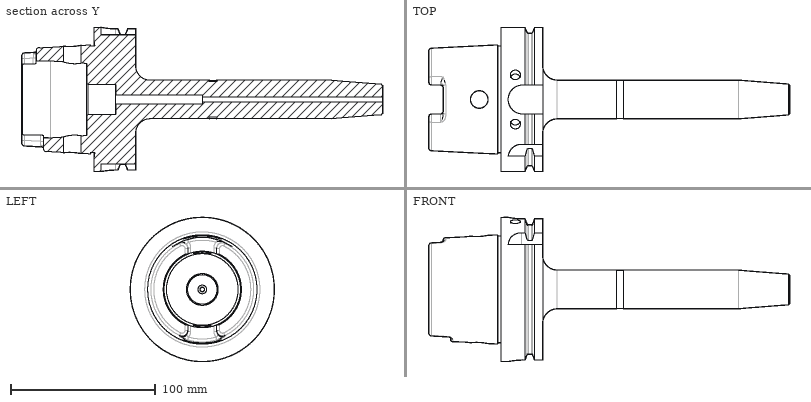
import cadquery as cq
import math


TAPER_LENGTH = 50.0
TAPER_GAUGE_RADIUS = 38.0
TAPER_SLOPE = 1 / 20
TAPER_END_ROUND = 2.0
RELIEF_WIDTH = 2.5
RELIEF_DEPTH = 0.8
RELIEF_CHAMFER = 0.5
FACE_RECESS_RADIUS = 39.9
FACE_RECESS_DEPTH = 0.5

FLANGE_RADIUS = 50.0
FLANGE_WIDTH = 29.0
GROOVE_CENTRE_X = 20.0
GROOVE_MOUTH_WIDTH = 6.6
GROOVE_FLOOR_WIDTH = 3.5
GROOVE_FLOOR_RADIUS = 46.0
GROOVE_FLOOR_ROUND = 1.0

SHANK_RADIUS = 13.5
SHANK_FILLET = 10.0
NOSE_END_X = 200.0
NOSE_END_RADIUS = 10.7
NOSE_ANGLE = math.radians(4.5)
NOSE_CHAMFER = 1.0

RING_START_X = 80.0
RING_WIDTH = 5.0
RING_OUTER_RADIUS = 13.35
RING_INNER_RADIUS = 12.5

CLAMP_BORE_RADIUS = 26.5
CLAMP_BORE_MOUTH_RADIUS = 27.1
CLAMP_BORE_DEPTH = 20.0
BORE_FLOOR_RADIUS = 24.8
BORE_FLOOR_DEPTH = 45.0
THREAD_BORE_RADIUS = 10.2
THREAD_BORE_MOUTH_RADIUS = 11.0
THREAD_BORE_DEPTH = 20.0
CHANNEL_RADIUS = 3.0
CHANNEL_DEPTH = 60.0
OUTLET_RADIUS = 1.5

CROSS_HOLE_RADIUS = 6.0
CROSS_HOLE_X = -15.0

SLOT_WIDTH = 20.0
SLOT_SIDE_ROUND = 4.0
TOP_SLOT_DEPTH = 10.0
BOTTOM_SLOT_DEPTH = 15.0
SLOT_CORNER_ROUND = 2.0

KEYWAY_WIDTH = 20.0
KEYWAY_START_X = 5.0
KEYWAY_FLOOR_Z = 44.8
NOTCH_OFFSET = 31.0
NOTCH_RADIUS = 9.3
NOTCH_START_X = 5.0

FLANGE_HOLE_RADIUS = 3.5
FLANGE_HOLE_X = 10.0
FLANGE_HOLE_ANGLE = 20.0
FLANGE_HOLE_DEPTH = 8.0
DRILL_POINT_HALF_ANGLE = math.radians(59)

PICK_REACH = 0.5


def taper_radius(x):
    return TAPER_GAUGE_RADIUS + TAPER_SLOPE * x


def nose_radius(x):
    return NOSE_END_RADIUS + (NOSE_END_X - x) * math.tan(NOSE_ANGLE)


def box_around(x, y, z, half_x=PICK_REACH, half_y=PICK_REACH, half_z=PICK_REACH):
    """Selector for edges whose centre lies in a box about a point."""
    return cq.selectors.BoxSelector(
        (x - half_x, y - half_y, z - half_z), (x + half_x, y + half_y, z + half_z)
    )


def revolve_about_x(profile):
    return profile.close().revolve(360, (0, 0, 0), (1, 0, 0))


def cylinder_x(start_x, end_x, radius):
    return cq.Workplane("YZ", origin=(start_x, 0, 0)).circle(radius).extrude(end_x - start_x)


def cone_x(start_x, end_x, start_radius, end_radius):
    profile = (
        cq.Workplane("XY")
        .moveTo(start_x, 0)
        .lineTo(start_x, start_radius)
        .lineTo(end_x, end_radius)
        .lineTo(end_x, 0)
    )
    return revolve_about_x(profile)


def countersink_x(start_x, start_radius, end_radius):
    """A 45 degree cone narrowing towards +X."""
    return cone_x(start_x, start_x + start_radius - end_radius, start_radius, end_radius)


def holder_blank():
    end_x = -TAPER_LENGTH
    relief_radius = taper_radius(-RELIEF_WIDTH) - RELIEF_DEPTH
    mouth_half = GROOVE_MOUTH_WIDTH / 2
    floor_half = GROOVE_FLOOR_WIDTH / 2
    nose_start_x = NOSE_END_X - (SHANK_RADIUS - NOSE_END_RADIUS) / math.tan(NOSE_ANGLE)
    nose_chamfer_x = NOSE_END_X - NOSE_CHAMFER
    fillet_middle = SHANK_FILLET * (1 - math.sqrt(0.5))
    profile = (
        cq.Workplane("XY")
        .moveTo(end_x, 0)
        .lineTo(end_x, taper_radius(end_x))
        .lineTo(-RELIEF_WIDTH, taper_radius(-RELIEF_WIDTH))
        .lineTo(-RELIEF_WIDTH + RELIEF_CHAMFER, relief_radius)
        .lineTo(FACE_RECESS_DEPTH, relief_radius)
        .lineTo(0, FACE_RECESS_RADIUS)
        .lineTo(0, FLANGE_RADIUS)
        .lineTo(GROOVE_CENTRE_X - mouth_half, FLANGE_RADIUS)
        .lineTo(GROOVE_CENTRE_X - floor_half, GROOVE_FLOOR_RADIUS)
        .lineTo(GROOVE_CENTRE_X + floor_half, GROOVE_FLOOR_RADIUS)
        .lineTo(GROOVE_CENTRE_X + mouth_half, FLANGE_RADIUS)
        .lineTo(FLANGE_WIDTH, FLANGE_RADIUS)
        .lineTo(FLANGE_WIDTH, SHANK_RADIUS + SHANK_FILLET)
        .threePointArc(
            (FLANGE_WIDTH + fillet_middle, SHANK_RADIUS + fillet_middle),
            (FLANGE_WIDTH + SHANK_FILLET, SHANK_RADIUS),
        )
        .lineTo(nose_start_x, SHANK_RADIUS)
        .lineTo(nose_chamfer_x, nose_radius(nose_chamfer_x))
        .lineTo(NOSE_END_X, nose_radius(nose_chamfer_x) - NOSE_CHAMFER)
        .lineTo(NOSE_END_X, 0)
    )
    groove_floor_edges = box_around(GROOVE_CENTRE_X, 0, 0, half_x=floor_half + PICK_REACH)
    return revolve_about_x(profile).edges(groove_floor_edges).fillet(GROOVE_FLOOR_ROUND)


def bores():
    mouth_x = -TAPER_LENGTH
    shoulder_x = mouth_x + CLAMP_BORE_DEPTH
    floor_x = mouth_x + BORE_FLOOR_DEPTH
    thread_end_x = floor_x + THREAD_BORE_DEPTH
    channel_end_x = thread_end_x + CHANNEL_DEPTH
    return (
        cylinder_x(mouth_x, shoulder_x, CLAMP_BORE_RADIUS)
        .union(cone_x(shoulder_x, floor_x, CLAMP_BORE_RADIUS, BORE_FLOOR_RADIUS))
        .union(countersink_x(floor_x, THREAD_BORE_MOUTH_RADIUS, THREAD_BORE_RADIUS))
        .union(cylinder_x(floor_x, thread_end_x, THREAD_BORE_RADIUS))
        .union(cylinder_x(thread_end_x, channel_end_x, CHANNEL_RADIUS))
        .union(cylinder_x(channel_end_x, NOSE_END_X, OUTLET_RADIUS))
    )


def cross_hole():
    return (
        cq.Workplane("XY", origin=(CROSS_HOLE_X, 0, -FLANGE_RADIUS))
        .circle(CROSS_HOLE_RADIUS)
        .extrude(2 * FLANGE_RADIUS)
    )


def cut_drive_slot(body, depth):
    """Cut a slot open to +Z and to the taper end, rounding its corners and outer rim."""
    half = SLOT_WIDTH / 2
    floor_x = depth - TAPER_LENGTH
    slot = (
        cq.Workplane("XY", origin=(floor_x - depth / 2, 0, 0))
        .rect(depth, SLOT_WIDTH)
        .extrude(FLANGE_RADIUS)
    )
    middle_x = floor_x - depth / 2
    rim_z = math.sqrt(taper_radius(middle_x) ** 2 - half**2)
    bore_z = math.sqrt(CLAMP_BORE_RADIUS**2 - half**2)
    side_rims = box_around(middle_x, half, rim_z) + box_around(middle_x, -half, rim_z)
    floor_rim = box_around(floor_x, 0, taper_radius(floor_x), half_y=half / 2)
    corners = box_around(floor_x, half, bore_z, half_z=SLOT_SIDE_ROUND) + box_around(
        floor_x, -half, bore_z, half_z=SLOT_SIDE_ROUND
    )
    body = body.cut(slot).edges(side_rims).fillet(SLOT_SIDE_ROUND)
    return body.edges(floor_rim + corners).fillet(SLOT_CORNER_ROUND)


def end_rim_edges(body):
    """The outer and slot side edges of the two lobes on the taper end face."""
    end_edges = body.faces("<X").edges()
    bore_edge_reach = CLAMP_BORE_RADIUS + PICK_REACH

    def outside_bore_edge(edge):
        middle = edge.positionAt(0.5)
        return math.hypot(middle.y, middle.z) > bore_edge_reach

    return end_edges.filter(outside_bore_edge)


def keyway():
    """Flat-floored, round-ended slot in the +Z side of the flange, open towards +X."""
    centre_x = KEYWAY_START_X + KEYWAY_WIDTH / 2
    plane = cq.Workplane("XY", origin=(centre_x, 0, KEYWAY_FLOOR_Z))
    length = FLANGE_WIDTH - centre_x
    straight = plane.center(length / 2, 0).rect(length, KEYWAY_WIDTH).extrude(FLANGE_RADIUS)
    return plane.circle(KEYWAY_WIDTH / 2).extrude(FLANGE_RADIUS).union(straight)


def corner_notch():
    """Round-ended notch with a floor and a wall in the flange corner between -Y and +Z."""
    centre_x = NOTCH_START_X + NOTCH_RADIUS
    length = FLANGE_WIDTH - centre_x
    plane = cq.Workplane("XY", origin=(centre_x, -NOTCH_OFFSET - NOTCH_RADIUS, NOTCH_OFFSET))
    straight = plane.center(length / 2, 0).rect(length, 2 * NOTCH_RADIUS).extrude(FLANGE_RADIUS)
    return plane.circle(NOTCH_RADIUS).extrude(FLANGE_RADIUS).union(straight)


def flange_hole(angle):
    floor_z = FLANGE_RADIUS - FLANGE_HOLE_DEPTH
    mouth_z = FLANGE_RADIUS + FLANGE_HOLE_RADIUS
    hole = (
        cq.Workplane("XZ")
        .moveTo(0, floor_z - FLANGE_HOLE_RADIUS / math.tan(DRILL_POINT_HALF_ANGLE))
        .lineTo(FLANGE_HOLE_RADIUS, floor_z)
        .lineTo(FLANGE_HOLE_RADIUS, mouth_z)
        .lineTo(0, mouth_z)
        .close()
        .revolve(360, (0, 0, 0), (0, 1, 0))
        .translate((FLANGE_HOLE_X, 0, 0))
    )
    return hole.rotate((0, 0, 0), (1, 0, 0), angle)


def half_turn(shape):
    return shape.rotate((0, 0, 0), (1, 0, 0), 180)


def make_ring(outer_radius):
    return (
        cq.Workplane("YZ", origin=(RING_START_X, 0, 0))
        .circle(outer_radius)
        .circle(RING_INNER_RADIUS)
        .extrude(RING_WIDTH)
    )


def make_holder():
    holder = holder_blank().cut(bores())
    holder = cut_drive_slot(holder, TOP_SLOT_DEPTH)
    holder = half_turn(cut_drive_slot(half_turn(holder), BOTTOM_SLOT_DEPTH))
    holder = end_rim_edges(holder).fillet(TAPER_END_ROUND)
    holder = holder.cut(countersink_x(-TAPER_LENGTH, CLAMP_BORE_MOUTH_RADIUS, CLAMP_BORE_RADIUS))
    holder = holder.cut(cross_hole())
    holder = holder.cut(keyway()).cut(half_turn(keyway())).cut(corner_notch())
    for angle in (-FLANGE_HOLE_ANGLE, FLANGE_HOLE_ANGLE):
        holder = holder.cut(flange_hole(angle))
    return holder.cut(make_ring(SHANK_RADIUS))


holder = make_holder()
marking_ring = make_ring(RING_OUTER_RADIUS)
result = cq.Compound.makeCompound([holder.val(), marking_ring.val()])